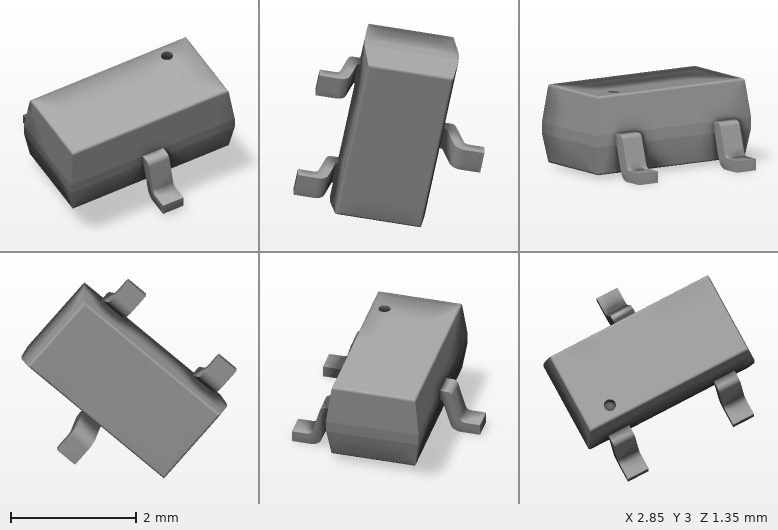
import cadquery as cq
import math

body_length = 3.0
body_width = 1.53
body_bottom = 0.072
body_top = 1.35
draft_inset = 0.075
edge_radius = 0.04

lead_span = 2.85
lead_width = 0.375
lead_thickness = 0.185
lead_top = 0.732
lead_pitch = 0.95
shoulder_length = 0.042
shank_angle = 16.5
bend_radius = 0.09
heel_radius = 0.18

mark_diameter = 0.192
mark_depth = 0.18
mark_x = -0.46

lead_bottom = lead_top - lead_thickness


def half_housing(plane_z, end_z):
    """Sloped half of the housing, from the parting band to one rounded end."""
    return (
        cq.Workplane("XY", origin=(0, 0, plane_z))
        .rect(body_width, body_length)
        .workplane(offset=end_z - plane_z)
        .rect(body_width - 2 * draft_inset, body_length - 2 * draft_inset)
        .loft(ruled=True)
    )


def make_housing():
    band = (
        cq.Workplane("XY", origin=(0, 0, lead_bottom))
        .rect(body_width, body_length)
        .extrude(lead_thickness)
    )
    upper = half_housing(lead_top, body_top).faces(">Z").edges().fillet(edge_radius)
    lower = half_housing(lead_bottom, body_bottom).faces("<Z").edges().fillet(edge_radius)
    mark = (
        cq.Workplane("XY", origin=(mark_x, lead_pitch, body_top))
        .circle(mark_diameter / 2)
        .extrude(-mark_depth)
    )
    return band.union(upper).union(lower).cut(mark)


def make_lead(side, center_y):
    """Gull-wing lead; side is -1 or +1 for the -X or +X face of the housing."""
    lean = math.radians(shank_angle)
    slope = math.tan(lean)
    shank_thickness_x = lead_thickness / math.cos(lean)
    root = body_width / 2
    tip = lead_span / 2
    inner_bend = root + shoulder_length
    heel = inner_bend + lead_bottom * slope
    outer_bend = inner_bend + shank_thickness_x - lead_thickness * slope
    instep = heel + shank_thickness_x - lead_thickness * slope

    profile = [
        (root, lead_top),
        (outer_bend, lead_top),
        (instep, lead_thickness),
        (tip, lead_thickness),
        (tip, 0),
        (heel, 0),
        (inner_bend, lead_bottom),
        (root, lead_bottom),
    ]
    lead = (
        cq.Workplane("XZ", origin=(0, center_y, 0))
        .polyline([(side * x, z) for x, z in profile])
        .close()
        .extrude(lead_width / 2, both=True)
    )

    def bend_edge(x, z):
        return cq.selectors.NearestToPointSelector((side * x, center_y, z))

    lead = lead.edges("|Y").edges(bend_edge(outer_bend, lead_top)).fillet(bend_radius)
    lead = lead.edges("|Y").edges(bend_edge(instep, lead_thickness)).fillet(bend_radius)
    return lead.edges("|Y").edges(bend_edge(heel, 0)).fillet(heel_radius)


housing = make_housing()
lead_places = [(-1, -lead_pitch), (-1, lead_pitch), (1, 0)]
leads = [make_lead(side, center_y) for side, center_y in lead_places]

result = cq.Compound.makeCompound([housing.val(), *[lead.val() for lead in leads]])